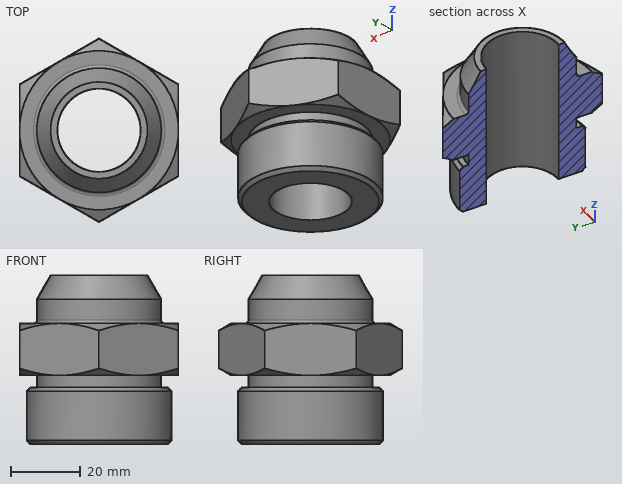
import cadquery as cq
import math

corner_diameter = 53.1
flat_diameter = corner_diameter * math.cos(math.radians(30))
hex_bottom = 19.95
hex_top = 35.0
bevel_angle = 30.0

total_height = 49.0
bore_diameter = 24.0
collar_diameter = 42.0
collar_height = 16.5
collar_chamfer = 1.15
neck_diameter = 36.0
cone_bottom = 42.0
tip_diameter = 28.0
root_fillet = 1.0


def turned_body():
    """Lower collar, neck, upper cylinder and conical tip, turned about Z."""
    collar_radius = collar_diameter / 2
    neck_radius = neck_diameter / 2
    chamfer_radius = collar_radius - collar_chamfer
    return (
        cq.Workplane("XZ")
        .lineTo(chamfer_radius, 0)
        .lineTo(collar_radius, collar_chamfer)
        .lineTo(collar_radius, collar_height - collar_chamfer)
        .lineTo(chamfer_radius, collar_height)
        .lineTo(neck_radius, collar_height)
        .lineTo(neck_radius, hex_top)
        .lineTo(neck_radius + root_fillet, hex_top)
        .radiusArc((neck_radius, hex_top + root_fillet), root_fillet)
        .lineTo(neck_radius, cone_bottom)
        .lineTo(tip_diameter / 2, total_height)
        .lineTo(0, total_height)
        .close()
        .revolve(360, (0, 0, 0), (0, 1, 0))
    )


def bevelled_hexagon():
    """Hexagon with corners on Y, its corners bevelled conically at both ends."""
    height = hex_top - hex_bottom
    corner_radius = corner_diameter / 2
    flat_radius = flat_diameter / 2
    bevel_height = (corner_radius - flat_radius) * math.tan(math.radians(bevel_angle))
    prism = (
        cq.Workplane("XY")
        .workplane(offset=hex_bottom)
        .polygon(6, corner_diameter)
        .extrude(height)
        .rotate((0, 0, 0), (0, 0, 1), 90)
    )
    bevel_envelope = (
        cq.Workplane("XZ")
        .moveTo(0, hex_bottom)
        .lineTo(flat_radius, hex_bottom)
        .lineTo(corner_radius, hex_bottom + bevel_height)
        .lineTo(corner_radius, hex_top - bevel_height)
        .lineTo(flat_radius, hex_top)
        .lineTo(0, hex_top)
        .close()
        .revolve(360, (0, 0, 0), (0, 1, 0))
    )
    return prism.intersect(bevel_envelope)


bore = cq.Workplane("XY").circle(bore_diameter / 2).extrude(total_height)
result = turned_body().union(bevelled_hexagon()).cut(bore)